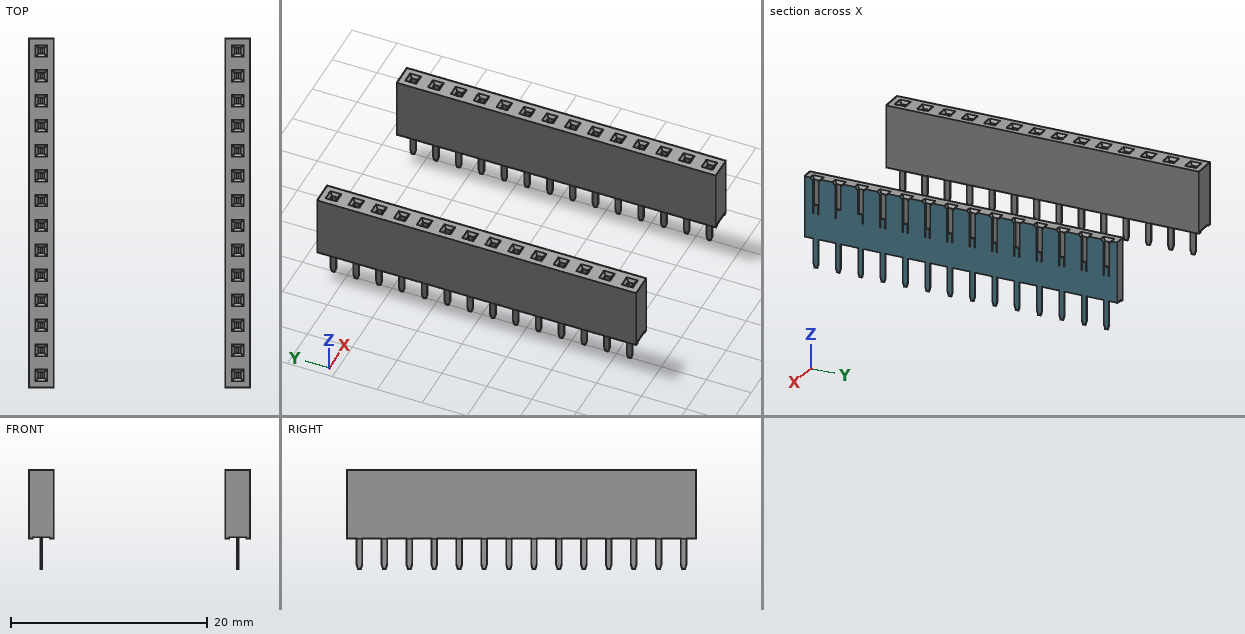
import cadquery as cq

length = 35.55
position_count = 14
overall_width = 22.55
overall_height = 10.1
housing_height = 7.0

pitch = length / position_count
strip_width = pitch
strip_spacing = overall_width - strip_width
housing_bottom = overall_height - housing_height

channel_width = 1.7
channel_depth = 0.15

mouth_size = 1.2
hole_size = 0.6
mouth_depth = (mouth_size - hole_size) / 2
hole_depth = 4.0

mouth_bottom = overall_height - mouth_depth
hole_floor = overall_height - hole_depth

pin_thickness = 0.2
pin_width = 0.6
pin_tip_width = 0.3
pin_tip_length = 0.5
blade_width = 0.5
blade_height = 1.0


def make_housing():
    """Plain bar with a shallow channel along its underside."""
    base = cq.Workplane("XY").workplane(offset=housing_bottom)
    bar = base.rect(strip_width, length).extrude(housing_height)
    channel = base.rect(channel_width, length).extrude(channel_depth)
    return bar.cut(channel)


def make_socket():
    """Cutter for one socket centred on the Z axis."""
    mouth = (
        cq.Workplane("XY")
        .workplane(offset=mouth_bottom)
        .rect(hole_size, hole_size)
        .workplane(offset=mouth_depth)
        .rect(mouth_size, mouth_size)
        .loft()
    )
    hole = (
        cq.Workplane("XY")
        .workplane(offset=hole_floor)
        .rect(hole_size, hole_size)
        .extrude(mouth_bottom - hole_floor)
    )
    return mouth.union(hole)


def make_pin():
    """Flat pin centred on the Z axis, with its tapered tip ending at Z = 0."""
    blade_top = hole_floor + blade_height
    right_side = [
        (pin_tip_width / 2, 0),
        (pin_width / 2, pin_tip_length),
        (pin_width / 2, hole_floor),
        (blade_width / 2, hole_floor),
        (blade_width / 2, blade_top),
    ]
    left_side = [(-y, z) for y, z in reversed(right_side)]
    outline = cq.Workplane("YZ").polyline(right_side + left_side).close()
    return outline.extrude(pin_thickness / 2, both=True)


def make_strip(x):
    """Socket strip at the given X position: one solid, pins included."""
    strip = make_housing()
    socket = make_socket()
    pin = make_pin()
    for i in range(position_count):
        place = (0, (i - (position_count - 1) / 2) * pitch, 0)
        strip = strip.cut(socket.translate(place)).union(pin.translate(place))
    return strip.translate((x, 0, 0))


strips = [make_strip(side * strip_spacing / 2) for side in (-1, 1)]

result = cq.Compound.makeCompound([strip.solids().val() for strip in strips])